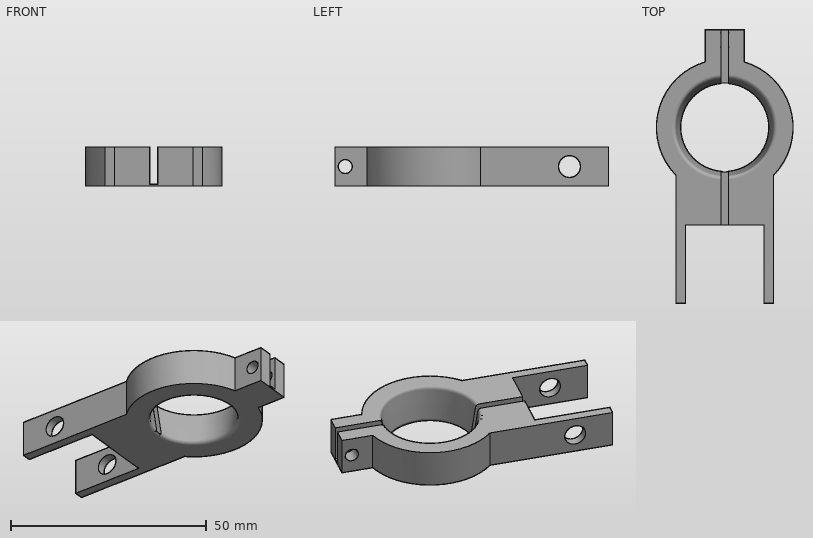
import cadquery as cq

length = 70
height = 10.0
ring_diameter = 35

bore_top_radius = 12.6
bore_bottom_radius = 11.05
rim_fillet = 1.0

tab_width = 10.0
tab_end_y = 25.0
tab_hole_diameter = 3.5
tab_hole_from_end = 2.65

fork_width = 25.0
arm_thickness = 2.5
fork_end_y = tab_end_y - length
fork_gap_depth = 20.0
fork_gap_width = fork_width - 2 * arm_thickness
arm_hole_diameter = 5.5
arm_hole_from_end = 10.0

slit_width = 1.95
web_thickness = 0.5


def bar(width, start_y, end_y, base_z=0):
    """Box centred on X, spanning two Y positions, from base_z up to the top face."""
    return cq.Workplane("XY").box(
        width, end_y - start_y, height - base_z, centered=(True, False, False)
    ).translate((0, start_y, base_z))


def cross_hole(diameter, y):
    """Cylinder along X at mid height, crossing the full width of the part."""
    return (
        cq.Workplane("YZ")
        .center(y, height / 2)
        .circle(diameter / 2)
        .extrude(ring_diameter / 2, both=True)
    )


ring = cq.Workplane("XY").circle(ring_diameter / 2).extrude(height)
body = ring.union(bar(tab_width, 0, tab_end_y))
body = body.union(bar(fork_width, fork_end_y, 0))
body = body.cut(bar(fork_gap_width, fork_end_y, fork_end_y + fork_gap_depth))

bore = (
    cq.Workplane("XY")
    .circle(bore_bottom_radius)
    .workplane(offset=height)
    .circle(bore_top_radius)
    .loft(combine=True)
)
body = body.cut(bore)
rim_reach = bore_top_radius + rim_fillet
rim_box = cq.selectors.BoxSelector(
    (-rim_reach, -rim_reach, -rim_fillet),
    (rim_reach, rim_reach, height + rim_fillet),
    boundingbox=True,
)
body = body.edges("%CIRCLE").edges(rim_box).fillet(rim_fillet)

body = body.cut(bar(slit_width, fork_end_y, tab_end_y, web_thickness))
body = body.cut(cross_hole(tab_hole_diameter, tab_end_y - tab_hole_from_end))
result = body.cut(cross_hole(arm_hole_diameter, fork_end_y + arm_hole_from_end))